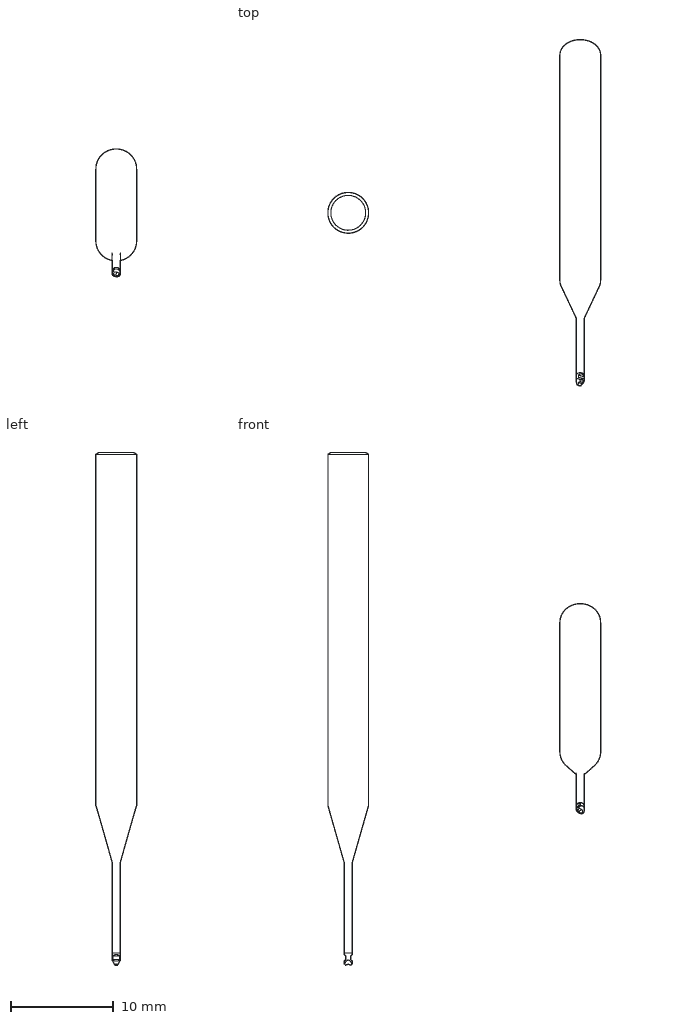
import cadquery as cq

total_length = 50
shank_radius = 2
top_chamfer_width = 0.3
top_chamfer_height = 0.2
taper_top = 15.6
taper_bottom = 10
neck_radius = 0.4

tip_length = 1.2
waist_half_width = 0.25
waist_bottom = 0.55
waist_top = 0.9
waist_slope_height = 0.15
end_corner_chamfer = 0.15
end_notch_depth = 0.1
end_edge_half_width = 0.125
end_taper_height = 0.5


def make_shank():
    """Chamfered shank, conical taper and slim neck in one revolved body."""
    return (
        cq.Workplane("XZ")
        .moveTo(0, tip_length)
        .lineTo(neck_radius, tip_length)
        .lineTo(neck_radius, taper_bottom)
        .lineTo(shank_radius, taper_top)
        .lineTo(shank_radius, total_length - top_chamfer_height)
        .lineTo(shank_radius - top_chamfer_width, total_length)
        .lineTo(0, total_length)
        .close()
        .revolve(360, (0, 0, 0), (0, 1, 0))
    )


def make_waisted_profile():
    """Prism along Y: notched end, flared cutting points and a narrow waist."""
    point_half_width = neck_radius - end_corner_chamfer
    right_side = [
        (point_half_width, 0),
        (neck_radius, end_corner_chamfer),
        (neck_radius, waist_bottom - waist_slope_height),
        (waist_half_width, waist_bottom),
        (waist_half_width, waist_top),
        (neck_radius, waist_top + waist_slope_height),
        (neck_radius, tip_length),
    ]
    left_side = [(-x, z) for x, z in reversed(right_side)]
    return (
        cq.Workplane("XZ")
        .polyline([(0, end_notch_depth)] + right_side + left_side)
        .close()
        .extrude(neck_radius, both=True)
    )


def make_tapered_profile():
    """Prism along X: full width above, narrowing to a thin cutting edge."""
    right_side = [
        (end_edge_half_width, 0),
        (neck_radius, end_taper_height),
        (neck_radius, tip_length),
    ]
    left_side = [(-y, z) for y, z in reversed(right_side)]
    return (
        cq.Workplane("YZ")
        .polyline(right_side + left_side)
        .close()
        .extrude(neck_radius, both=True)
    )


def make_cutting_tip():
    """Round blank ground to the waisted and the tapered profile."""
    blank = cq.Workplane("XY").circle(neck_radius).extrude(tip_length)
    return blank.intersect(make_waisted_profile()).intersect(make_tapered_profile())


shank = make_shank()
cutting_tip = make_cutting_tip()

result = cq.Compound.makeCompound([shank.val(), cutting_tip.solids().val()])